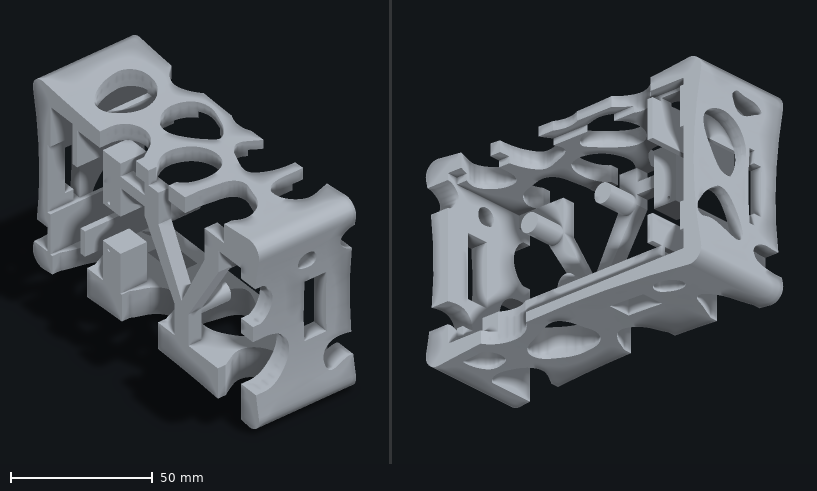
import cadquery as cq
import math

width = 131.0
depth = 43.25
height = 81.99
corner_radius = 5.5
waist_half_width = 61.85
waist_half_height = 37.45
clearance = 10.0

inner_left = -57.05
inner_right = 55.0
inner_top = 31.0
inner_bottom = -25.9

recess_front = 38.5
recess_half_height = 33.7

channel_left = -55.4
channel_right = -42.4
channel_half_height = 32.35
partition_right = -39.9
partition_gap_half = 14.8
lower_partition_front = 3.5

post_left = -25.0
post_right = -14.75
post_depth = 11.75
upper_post_end = 7.8
lower_post_end = -8.5
strut_depth = 5.7
bar_top = 25.35
bar_bottom = 20.4
arm_left = -0.95
arm_width = 8.15
stem_middle = 20.55
arm_bend_inner = 17.2
arm_bend_outer = 16.5
crotch_inner = -8.5
crotch_outer = -12.1
gusset_bottom = 25.75
peg_diameter = 8.0
peg_end = 19.1
upper_peg_z = 17.5
lower_peg_z = -12.5
pin_diameter = 1.5
pin_x = -21.5
pin_offset = 2.15

window_front = 22.65
window_rear = 32.5
window_bottom = -12.1
window_top = 14.0
floor_window_left = -28.4
floor_window_right = -12.4
slot_front = 7.8
slot_step = 11.7
slot_rear = 14.4
slot_wide_half = 9.95

lip = 3.5
roof_holes = [
    [(-49.4, 25.0), (-48.1, 29.8), (-44.5, 32.8), (-40.3, 33.4), (-36.2, 32.6), (-32.4, 30.2),
     (-29.5, 26.4), (-28.0, 20.3), (-29.2, 15.0), (-32.3, 10.2), (-36.2, 7.7), (-39.7, 7.9),
     (-43.0, 10.2), (-47.1, 16.3)],
    [(-23.7, 29.2), (-23.2, 33.2), (-20.0, 38.3), (-14.6, 40.1), (-7.8, 38.7), (-0.4, 35.0),
     (1.7, 31.3), (0.3, 28.9), (-6.5, 22.4), (-13.3, 19.1), (-17.4, 19.7), (-21.4, 23.1)],
]
roof_front_notches = [
    [(-26.7, lip), (-26.4, 6.9), (-23.4, 11.6), (-18.0, 13.5), (-12.6, 12.0), (-8.5, 7.6), (-5.8, lip)],
    [(1.5, lip), (-1.8, 7.6), (-3.3, 11.6), (-2.8, 16.4), (-0.4, 21.1), (3.7, 24.2), (8.4, 25.2),
     (13.8, 23.5), (17.2, 17.7), (17.5, 12.3), (15.5, 5.9), (13.1, lip)],
    [(22.6, lip), (22.6, 6.9), (23.3, 11.6), (24.6, 18.4), (26.7, 20.8), (30.0, 21.6), (34.1, 20.6),
     (42.2, 17.4), (46.3, 12.3), (47.3, 8.9), (46.0, 4.5), (45.3, lip)],
]
roof_rear_notches = [
    [(-41.3, depth), (-37.6, 39.4), (-32.9, 37.7), (-28.1, 39.0), (-22.7, depth)],
    [(-6.5, depth), (-3.8, 42.2), (2.3, 42.2), (5.0, depth)],
    [(11.8, depth), (9.1, 38.5), (7.9, 34.6), (9.7, 31.6), (15.0, 29.0), (20.9, 26.9), (24.0, 26.9),
     (27.3, 30.2), (29.7, 36.7), (30.2, depth)],
    [(34.8, depth), (34.8, 34.6), (36.4, 27.9), (38.3, 25.9), (41.0, 25.2), (46.6, 26.4), (51.6, 33.0),
     (50.3, 38.5), (48.6, depth)],
]

floor_holes = [
    [(5.1, 24.0), (5.0, 20.1), (6.9, 16.1), (10.5, 13.2), (16.0, 12.0), (22.0, 12.4), (28.0, 15.6),
     (32.5, 20.3), (32.5, 25.5), (27.5, 30.5), (19.0, 34.2), (13.1, 36.5), (9.7, 36.3), (7.2, 33.3)],
    [(-46.9, 31.5), (-44.4, 28.8), (-41.0, 28.2), (-37.6, 28.8), (-34.2, 31.2), (-35.5, 35.5),
     (-40.5, 37.0), (-45.5, 35.5)],
]
floor_front_notches = [
    [(-54.2, lip), (-52.0, 11.0), (-48.1, 18.9), (-44.7, 20.7), (-42.2, 19.7), (-39.9, 15.7),
     (-36.3, 7.9), (-34.1, lip)],
    [(-14.0, lip), (-12.9, 5.9), (-11.2, 10.5), (-7.0, 14.9), (-2.2, 15.9), (1.0, 13.8), (4.0, 9.8),
     (6.9, lip)],
    [(41.6, lip), (38.7, 8.6), (37.5, 12.7), (39.5, 18.0), (45.0, 21.8), (50.0, 23.0), (52.4, 22.3),
     (inner_right, 19.6)],
]
floor_rear_notch = [(17.9, depth), (22.3, 38.5), (26.0, 36.8), (29.5, 36.5), (35.0, 38.3), (39.3, depth)]
floor_recess_opening = [(42.9, recess_front), (40.4, 34.5), (40.1, 31.0), (41.2, 27.9), (44.0, 26.6),
                        (48.0, 26.6), (51.5, 31.5), (52.0, recess_front)]

left_holes = [
    [(25.7, 31.8), (24.2, 33.0), (21.0, 32.6), (11.1, 30.4), (10.2, 29.4), (12.0, 28.3), (18.6, 25.5),
     (21.1, 25.5), (25.2, 29.3)],
    [(39.0, 17.6), (38.6, 19.6), (34.3, 22.9), (29.2, 23.8), (24.2, 22.7), (18.6, 18.4), (16.0, 12.5),
     (16.3, 8.5), (18.6, 3.9), (22.6, 0.6), (25.2, 0.1), (27.7, 0.4), (32.8, 5.4), (37.4, 12.5)],
    [(28.7, -5.7), (25.7, -6.8), (22.6, -10.1), (20.1, -14.9), (18.7, -20.5), (19.1, -23.0),
     (21.6, -24.6), (25.7, -23.8), (32.8, -21.2), (36.9, -20.9), (41.2, -21.2), (42.3, -19.7),
     (40.7, -14.9), (35.8, -9.3), (32.3, -6.8)],
]
left_front_notch = [(lip, -21.4), (8.4, -21.4), (12.0, -23.2), (13.8, -26.0), (13.2, -28.8),
                    (8.9, -31.1), (lip, -31.9)]
right_holes = [
    [(23.0, 20.4), (27.0, 22.5), (26.0, 26.5), (20.0, 26.5), (19.0, 22.5)],
]
right_front_notches = [
    [(lip, 21.2), (6.6, 18.3), (8.4, 12.7), (7.6, 8.9), (5.7, 5.7), (lip, 3.9)],
    [(lip, -2.7), (8.1, -2.9), (12.0, -4.4), (15.3, -8.6), (15.8, -11.3), (14.8, -16.2), (12.4, -20.0),
     (9.6, -22.8), (lip, -24.9)],
]
right_rear_notches = [
    [(depth, -16.9), (38.3, -16.3), (34.4, -16.9), (31.0, -20.0), (31.0, -26.0), (32.8, -28.2),
     (35.4, -28.0), (39.5, -26.3), (depth, -26.0)],
    [(depth, 20.0), (39.0, 22.5), (37.5, 26.0), (39.5, 29.5), (depth, 31.0)],
]


def box(x_range, y_range, z_range):
    """Axis-aligned box between the given limits."""
    size = [high - low for low, high in (x_range, y_range, z_range)]
    return cq.Workplane("XY").box(*size, centered=False).translate((x_range[0], y_range[0], z_range[0]))


def along_y(sketch, length):
    """Extrude a sketch on the front plane towards +Y."""
    return sketch.extrude(-length)


def tangent_waist(mid, along, across):
    """Point where the arc through a side's middle meets the corner round.

    mid is the distance from the axis to the middle of the side; (along, across) is the centre of
    the corner round, measured along the side and away from the axis.
    """
    rise = mid - across
    radius = (along**2 + rise**2 - corner_radius**2) / (2 * (corner_radius - rise))
    share = corner_radius / (radius + corner_radius)
    return along - along * share, across + (mid + radius - across) * share


def make_body():
    round_x = width / 2 - corner_radius
    round_z = height / 2 - corner_radius
    top_x, top_z = tangent_waist(waist_half_height, round_x, round_z)
    side_z, side_x = tangent_waist(waist_half_width, round_z, round_x)
    diagonal = corner_radius / math.sqrt(2)
    tip_x = round_x + diagonal
    tip_z = round_z + diagonal
    outline = (
        cq.Workplane("XZ")
        .moveTo(-top_x, top_z)
        .threePointArc((0, waist_half_height), (top_x, top_z))
        .threePointArc((tip_x, tip_z), (side_x, side_z))
        .threePointArc((waist_half_width, 0), (side_x, -side_z))
        .threePointArc((tip_x, -tip_z), (top_x, -top_z))
        .threePointArc((0, -waist_half_height), (-top_x, -top_z))
        .threePointArc((-tip_x, -tip_z), (-side_x, -side_z))
        .threePointArc((-waist_half_width, 0), (-side_x, side_z))
        .threePointArc((-tip_x, tip_z), (-top_x, top_z))
        .close()
    )
    cavity = box((inner_left, inner_right), (0, depth), (inner_bottom, inner_top))
    recess = box(
        (inner_left, inner_right), (recess_front, depth), (-recess_half_height, recess_half_height)
    )
    return along_y(outline, depth).cut(cavity).cut(recess)


def hole(plane, points, length):
    """Cutter for a freeform opening that is closed all round."""
    return cq.Workplane(plane).spline(points, periodic=True).wire().extrude(length)


def notch(plane, y_index, points, edge, length):
    """Cutter for a freeform opening that runs straight out to Y = edge from both ends of its curve."""
    ends = []
    for point in (points[-1], points[0]):
        end = list(point)
        end[y_index] = edge
        ends.append(tuple(end))
    curve = cq.Workplane(plane).spline(points)
    return curve.lineTo(*ends[0]).lineTo(*ends[1]).lineTo(*points[0]).wire().extrude(length)


def wall_cutters(plane, y_index, length, holes, front_notches, rear_notches):
    """Cutters through one wall, starting at the plane of its inner face.

    y_index tells which of the two coordinates of a point is Y.
    """
    cutters = [hole(plane, points, length) for points in holes]
    cutters += [notch(plane, y_index, points, -clearance, length) for points in front_notches]
    cutters += [notch(plane, y_index, points, depth + clearance, length) for points in rear_notches]
    return cutters


def cut_freeform_openings(body):
    reach = height / 2
    roof = cq.Plane.XY((0, 0, inner_top))
    floor = cq.Plane.XY((0, 0, inner_bottom))
    left = cq.Plane.YZ((inner_left, 0, 0))
    right = cq.Plane.YZ((inner_right, 0, 0))
    cutters = wall_cutters(roof, 1, reach, roof_holes, roof_front_notches, roof_rear_notches)
    cutters += wall_cutters(floor, 1, -reach, floor_holes, floor_front_notches, [floor_rear_notch])
    cutters += wall_cutters(left, 0, -reach, left_holes, [left_front_notch], [])
    cutters += wall_cutters(right, 0, reach, right_holes, right_front_notches, right_rear_notches)
    cutters.append(cq.Workplane(floor).spline(floor_recess_opening).close().extrude(-reach))
    for cutter in cutters:
        body = body.cut(cutter)
    return body


def add_channel(body):
    """Line the left wall, add the partition beside it and sink the channel into roof and floor."""
    upper = (partition_gap_half, inner_top)
    lower = (inner_bottom, -partition_gap_half)
    for z_range, partition_front in ((upper, 0), (lower, lower_partition_front)):
        body = body.union(box((inner_left, channel_left), (0, depth), z_range))
        body = body.union(box((channel_right, partition_right), (partition_front, depth), z_range))
    channel = box(
        (channel_left, channel_right), (0, depth), (-channel_half_height, channel_half_height)
    )
    return body.cut(channel)


def add_posts(body):
    for z_range in ((upper_post_end, inner_top), (inner_bottom, lower_post_end)):
        body = body.union(box((post_left, post_right), (0, post_depth), z_range))
    bar = box((post_right, arm_left), (0, strut_depth), (bar_bottom, bar_top))
    body = body.union(bar)
    pins = (
        cq.Workplane("XZ")
        .pushPoints([(pin_x, upper_post_end + pin_offset), (pin_x, lower_post_end - pin_offset)])
        .circle(pin_diameter / 2)
    )
    return body.cut(along_y(pins, post_depth))


def add_strut(body):
    """Y-shaped strut from floor to roof, with its right arm braced to the right wall."""
    arm_right = 2 * stem_middle - arm_left
    stem_left = stem_middle - arm_width / 2
    stem_right = stem_middle + arm_width / 2
    outline = (
        cq.Workplane("XZ")
        .moveTo(arm_left, inner_top)
        .lineTo(arm_left, arm_bend_outer)
        .lineTo(stem_left, crotch_outer)
        .lineTo(stem_left, inner_bottom)
        .lineTo(stem_right, inner_bottom)
        .lineTo(stem_right, crotch_outer)
        .lineTo(arm_right, arm_bend_outer)
        .lineTo(arm_right, gusset_bottom)
        .lineTo(inner_right, gusset_bottom)
        .lineTo(inner_right, inner_top)
        .lineTo(arm_right - arm_width, inner_top)
        .lineTo(arm_right - arm_width, arm_bend_inner)
        .lineTo(stem_middle, crotch_inner)
        .lineTo(arm_left + arm_width, arm_bend_inner)
        .lineTo(arm_left + arm_width, inner_top)
        .close()
    )
    peg_spread = stem_middle - arm_left - arm_width / 2
    pegs = (
        cq.Workplane("XZ")
        .pushPoints([
            (stem_middle - peg_spread, upper_peg_z),
            (stem_middle + peg_spread, upper_peg_z),
            (stem_middle, lower_peg_z),
        ])
        .circle(peg_diameter / 2)
    )
    return body.union(along_y(outline, strut_depth)).union(along_y(pegs, peg_end))


def cut_rectangular_openings(body):
    window_y = (window_front, window_rear)
    left_x = (-width, channel_left)
    openings = [
        box((inner_right, width), window_y, (window_bottom, window_top)),
        box((floor_window_left, floor_window_right), window_y, (-height, inner_bottom)),
        box(left_x, (slot_step, slot_rear), (-partition_gap_half, partition_gap_half)),
        box(left_x, (slot_front, slot_rear), (-slot_wide_half, slot_wide_half)),
    ]
    for opening in openings:
        body = body.cut(opening)
    return body


result = make_body()
result = cut_freeform_openings(result)
result = add_channel(result)
result = add_posts(result)
result = add_strut(result)
result = cut_rectangular_openings(result)